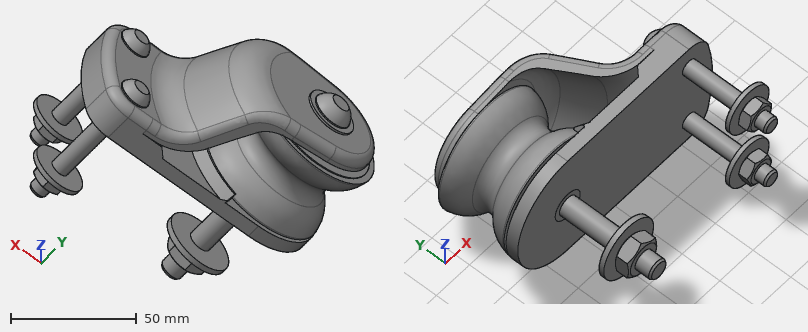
import cadquery as cq
import math


half_width = 30.0
corner_radius = 12.0
end_radius = 87.3
base_thickness = 6.2
seat_height = 10.3
seat_foot_radius = 58.0
seat_top_radius = 61.6
ridge_inner_radius = 30.5
ridge_top_radius = 31.5
ridge_foot_radius = 36.0
ridge_half_angle = 60.0

strap_thickness = 6.1
strap_top = 50.7
strap_nose_radius = 25.0
taper_x = 15.4
taper_half_width = 27.2
full_width_x = 63.7
bend_start_radius = 31.3
upper_bend_radius = 9.4
lower_bend_radius = 12.3
bend_angle = math.radians(65.6)
rim_fillet = 4.1

clamp_shank_diameter = 8.0
clamp_tip_diameter = 6.8
clamp_end = -44.0
clamp_washer_diameter = 23.9
clamp_washer_thickness = 2.1
clamp_nut_flats = 13.1
clamp_nut_height = 6.2
clamp_nut_face_diameter = 12.0
clamp_nut_turn = 11.0
clamp_head_diameter = 14.0
clamp_head_height = 4.5
clamp_head_flat_diameter = 7.3

axle_shank_diameter = 10.0
axle_tip_diameter = 8.7
axle_end = -48.3
axle_washer_diameter = 30.0
axle_washer_thickness = 2.6
axle_nut_flats = 17.0
axle_nut_height = 7.7
axle_nut_face_diameter = 15.7
axle_nut_turn = 30.0
axle_head_diameter = 17.5
axle_head_height = 5.5
axle_head_flat_diameter = 8.2
head_washer_diameter = 22.4
head_washer_thickness = 0.9

washer_top = -29.8
tip_chamfer = 1.0
head_band = 0.6

roller_middle = 25.0
roller_half_width = 18.0
rim_diameter = 59.5
rim_land = 0.7
face_diameter = 54.0
face_step = 0.5
throat_diameter = 40.8
throat_edge_radius = 22.9
throat_half_width = 5.4
flare_mid_radius = 27.8
flare_mid_offset = 11.0
bushing_diameter = 15.0
spacer_diameter = 24.0

clamp_z = half_width - corner_radius
clamp_reach = end_radius - corner_radius
clamp_x = math.sqrt(clamp_reach ** 2 - clamp_z ** 2)
seat_strap_top = seat_height + strap_thickness
strap_underside = strap_top - strap_thickness
bolt_places = [(clamp_x, clamp_z, clamp_nut_turn), (clamp_x, -clamp_z, -clamp_nut_turn)]


def prism(outline, bottom, top):
    """Extrude an outline, drawn in X and Z, from y = bottom to y = top."""
    return outline.extrude(bottom - top).translate((0, bottom, 0))


def disc(diameter, bottom, top):
    return prism(cq.Workplane("XZ").circle(diameter / 2), bottom, top)


def turned(profile, angle=360):
    """Revolve a profile, drawn as radius and Y, about the Y axis."""
    return profile.revolve(angle, (0, 0, 0), (0, 1, 0))


def finish_outline(start):
    """Close an outline at the right end with rounded corners and the end arc.

    It takes an outline that has reached full width on the +Z side and ends at full width
    on the -Z side.
    """
    corner_angle = math.atan2(clamp_z, clamp_x)
    arc_x = end_radius * math.cos(corner_angle)
    arc_z = end_radius * math.sin(corner_angle)
    half_turn = (math.pi / 2 + corner_angle) / 2
    mid_x = clamp_x + corner_radius * math.cos(half_turn)
    mid_z = clamp_z + corner_radius * math.sin(half_turn)
    return (
        start.lineTo(clamp_x, half_width)
        .threePointArc((mid_x, mid_z), (arc_x, arc_z))
        .threePointArc((end_radius, 0), (arc_x, -arc_z))
        .threePointArc((mid_x, -mid_z), (clamp_x, -half_width))
    )


def base_outline():
    start = cq.Workplane("XZ").moveTo(0, half_width)
    return (
        finish_outline(start)
        .lineTo(0, -half_width)
        .threePointArc((-half_width, 0), (0, half_width))
        .close()
    )


def strap_outline():
    taper_reach = math.hypot(taper_x, taper_half_width)
    tangent_angle = math.atan2(taper_half_width, taper_x) + math.acos(strap_nose_radius / taper_reach)
    nose_x = strap_nose_radius * math.cos(tangent_angle)
    nose_z = strap_nose_radius * math.sin(tangent_angle)
    start = (
        cq.Workplane("XZ")
        .moveTo(nose_x, nose_z)
        .lineTo(taper_x, taper_half_width)
        .lineTo(full_width_x, half_width)
    )
    return (
        finish_outline(start)
        .lineTo(full_width_x, -half_width)
        .lineTo(taper_x, -taper_half_width)
        .lineTo(nose_x, -nose_z)
        .threePointArc((-strap_nose_radius, 0), (nose_x, nose_z))
        .close()
    )


def make_base():
    plate = prism(base_outline(), 0, base_thickness)
    ridge = turned(
        cq.Workplane("XY").polyline([
            (ridge_inner_radius, 0),
            (ridge_inner_radius, seat_height),
            (ridge_top_radius, seat_height),
            (ridge_foot_radius, base_thickness),
            (ridge_foot_radius, 0),
        ]).close(),
        2 * ridge_half_angle,
    ).rotate((0, 0, 0), (0, 1, 0), -ridge_half_angle)
    seat = turned(
        cq.Workplane("XY").polyline([
            (seat_foot_radius, 0),
            (seat_foot_radius, base_thickness),
            (seat_top_radius, seat_height),
            (end_radius, seat_height),
            (end_radius, 0),
        ]).close()
    )
    raised = prism(base_outline(), 0, seat_height).intersect(ridge.union(seat))
    return plate.union(raised)


def rim_edges(strap):
    """Edges between the outer face of the strap and its side walls."""
    tolerance = 0.01
    outer = [f for f in strap.faces().vals() if f.normalAt().y > tolerance]
    sides = [f for f in strap.faces().vals() if abs(f.normalAt().y) < tolerance]
    side_edges = [e for f in sides for e in f.Edges()]
    return [e for f in outer for e in f.Edges() if any(e.isSame(s) for s in side_edges)]


def make_strap():
    upper_outer = upper_bend_radius + strap_thickness
    lower_outer = lower_bend_radius + strap_thickness
    bend_sum = upper_outer + lower_bend_radius
    cone_drop = strap_top - seat_strap_top - bend_sum * (1 - math.cos(bend_angle))
    cone_run = cone_drop / math.tan(bend_angle)
    bend_end_radius = bend_start_radius + bend_sum * math.sin(bend_angle) + cone_run
    upper_center = strap_top - upper_outer
    lower_center = seat_strap_top + lower_bend_radius

    def upper(radius, angle):
        return (bend_start_radius + radius * math.sin(angle), upper_center + radius * math.cos(angle))

    def lower(radius, angle):
        return (bend_end_radius - radius * math.sin(angle), lower_center - radius * math.cos(angle))

    half = bend_angle / 2
    disc_radius = end_radius + half_width
    profile = (
        cq.Workplane("XY")
        .moveTo(0, strap_top)
        .lineTo(*upper(upper_outer, 0))
        .threePointArc(upper(upper_outer, half), upper(upper_outer, bend_angle))
        .lineTo(*lower(lower_bend_radius, bend_angle))
        .threePointArc(lower(lower_bend_radius, half), lower(lower_bend_radius, 0))
        .lineTo(disc_radius, seat_strap_top)
        .lineTo(disc_radius, seat_height)
        .lineTo(*lower(lower_outer, 0))
        .threePointArc(lower(lower_outer, half), lower(lower_outer, bend_angle))
        .lineTo(*upper(upper_bend_radius, bend_angle))
        .threePointArc(upper(upper_bend_radius, half), upper(upper_bend_radius, 0))
        .lineTo(0, strap_underside)
        .close()
    )
    strap = turned(profile).intersect(prism(strap_outline(), 0, strap_top))
    return strap.newObject(rim_edges(strap)).fillet(rim_fillet)


def make_shank(diameter, tip_diameter, end, top):
    return turned(
        cq.Workplane("XY").polyline([
            (0, end),
            (tip_diameter / 2, end),
            (diameter / 2, end + tip_chamfer),
            (diameter / 2, top),
            (0, top),
        ]).close()
    )


def make_head(diameter, flat_diameter, height, seat):
    """Domed head with a flat top, resting at y = seat."""
    radius = diameter / 2
    flat = flat_diameter / 2
    band_top = seat + head_band
    rise = height - head_band
    depth = (radius ** 2 - flat ** 2 - rise ** 2) / (2 * rise)
    dome_radius = math.hypot(radius, depth)
    mid_angle = (math.atan2(depth, radius) + math.atan2(depth + rise, flat)) / 2
    dome_middle = (
        dome_radius * math.cos(mid_angle),
        band_top - depth + dome_radius * math.sin(mid_angle),
    )
    return turned(
        cq.Workplane("XY")
        .moveTo(0, seat)
        .lineTo(radius, seat)
        .lineTo(radius, band_top)
        .threePointArc(dome_middle, (flat, seat + height))
        .lineTo(0, seat + height)
        .close()
    )


def make_nut(flats, face_diameter, height, turn, top):
    """Hexagon nut below y = top, with its corners chamfered at both ends."""
    corners = flats / math.cos(math.pi / 6)
    face_radius = face_diameter / 2
    chamfer_height = (corners / 2 - face_radius) * math.tan(math.pi / 6)
    bottom = top - height
    hexagon = prism(cq.Workplane("XZ").polygon(6, corners), bottom, top)
    envelope = turned(
        cq.Workplane("XY").polyline([
            (0, bottom),
            (face_radius, bottom),
            (corners / 2, bottom + chamfer_height),
            (corners / 2, top - chamfer_height),
            (face_radius, top),
            (0, top),
        ]).close()
    )
    return hexagon.rotate((0, 0, 0), (0, 1, 0), -turn).intersect(envelope)


def make_clamp_bolt(nut_turn):
    """Bolt on the Y axis with its head, washer and nut."""
    nut_top = washer_top - clamp_washer_thickness
    shank = make_shank(clamp_shank_diameter, clamp_tip_diameter, clamp_end, seat_strap_top)
    head = make_head(clamp_head_diameter, clamp_head_flat_diameter, clamp_head_height, seat_strap_top)
    washer = disc(clamp_washer_diameter, nut_top, washer_top)
    nut = make_nut(clamp_nut_flats, clamp_nut_face_diameter, clamp_nut_height, nut_turn, nut_top)
    return shank.union(head).union(washer).union(nut)


def make_frame():
    """Base and strap with the two clamp bolts fixed in them."""
    frame = make_base().union(make_strap())
    frame = frame.cut(disc(bushing_diameter, 0, base_thickness))
    frame = frame.cut(disc(axle_shank_diameter, strap_underside, strap_top))
    for x, z, nut_turn in bolt_places:
        frame = frame.union(make_clamp_bolt(nut_turn).translate((x, 0, z)))
    return frame


def make_roller():
    """Grooved roller, symmetric about its middle plane."""
    def place(side, radius, offset):
        return (radius, roller_middle + side * offset)

    rim_radius = rim_diameter / 2
    face_radius = face_diameter / 2
    face_offset = roller_half_width - face_step
    land_offset = face_offset - rim_land
    throat_edge = (throat_edge_radius, throat_half_width)
    flare_middle = (flare_mid_radius, flare_mid_offset)
    return turned(
        cq.Workplane("XY")
        .moveTo(*place(-1, 0, roller_half_width))
        .lineTo(*place(-1, face_radius, roller_half_width))
        .lineTo(*place(-1, face_radius, face_offset))
        .lineTo(*place(-1, rim_radius, face_offset))
        .lineTo(*place(-1, rim_radius, land_offset))
        .threePointArc(place(-1, *flare_middle), place(-1, *throat_edge))
        .threePointArc(place(1, throat_diameter / 2, 0), place(1, *throat_edge))
        .threePointArc(place(1, *flare_middle), place(1, rim_radius, land_offset))
        .lineTo(*place(1, rim_radius, face_offset))
        .lineTo(*place(1, face_radius, face_offset))
        .lineTo(*place(1, face_radius, roller_half_width))
        .lineTo(*place(1, 0, roller_half_width))
        .close()
    )


def make_roller_unit():
    """Roller with its bushing, spacer and bolt."""
    nut_top = washer_top - axle_washer_thickness
    head_seat = strap_top + head_washer_thickness
    parts = [
        disc(bushing_diameter, 0, roller_middle),
        disc(spacer_diameter, roller_middle, strap_underside),
        make_shank(axle_shank_diameter, axle_tip_diameter, axle_end, head_seat),
        disc(head_washer_diameter, strap_top, head_seat),
        make_head(axle_head_diameter, axle_head_flat_diameter, axle_head_height, head_seat),
        disc(axle_washer_diameter, nut_top, washer_top),
        make_nut(axle_nut_flats, axle_nut_face_diameter, axle_nut_height, axle_nut_turn, nut_top),
    ]
    unit = make_roller()
    for part in parts:
        unit = unit.union(part)
    return unit


frame = make_frame()
roller_unit = make_roller_unit()
result = cq.Compound.makeCompound([frame.solids().val(), roller_unit.solids().val()])